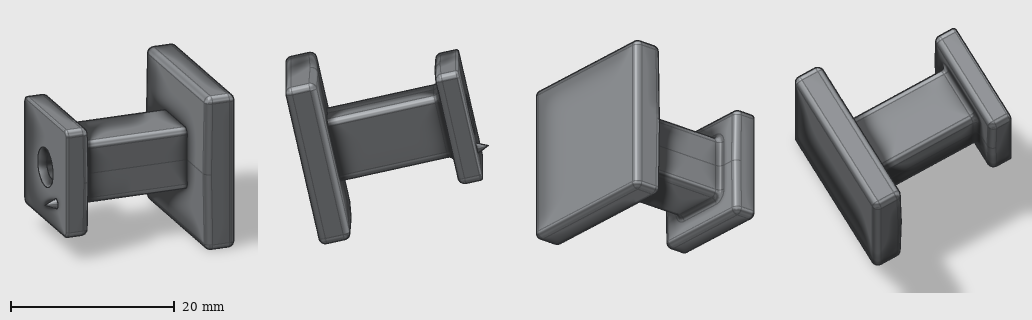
import cadquery as cq
import math

TOTAL_LENGTH = 22.5
PIN_LENGTH = 1.46
LARGE_SIZE = 19.98
LARGE_THICKNESS = 4.0
SMALL_SIZE = 14.0
SMALL_THICKNESS = 3.05
SHAFT_SIZE = 7.99

EDGE_RADIUS = 0.8
FRONT_RADIUS = 0.3
SHAFT_ROOT_RADIUS = 0.72
DRAFT_ANGLE = 1.0

HOLE_DIAMETER = 3.3
HOLE_DEPTH = 6.75
COUNTERSINK_DIAMETER = 5.0
COUNTERSINK_DEPTH = (COUNTERSINK_DIAMETER - HOLE_DIAMETER) / 2
DRILL_POINT_ANGLE = 118.0

PIN_DIAMETER = 1.25
PIN_OFFSET = 3.53

FRONT_Y = PIN_LENGTH
SMALL_BACK_Y = FRONT_Y + SMALL_THICKNESS
LARGE_FRONT_Y = TOTAL_LENGTH - LARGE_THICKNESS
DRAFT_SLOPE = math.tan(math.radians(DRAFT_ANGLE))


def flange(size, flat_y, peak_y, flat_radius):
    """Square plate: flat outer face at flat_y, inner face ridged at peak_y on the parting plane."""
    half = size / 2
    fall = math.copysign(half * DRAFT_SLOPE, peak_y - flat_y)
    outline = [
        (flat_y, -half),
        (peak_y - fall, -half),
        (peak_y, 0),
        (peak_y - fall, half),
        (flat_y, half),
    ]
    plate = cq.Workplane("YZ").polyline(outline).close().extrude(half, both=True)
    plate = plate.edges("|Y").fillet(EDGE_RADIUS)
    flat_side = "<Y" if flat_y < peak_y else ">Y"
    inner_faces = plate.faces(cq.selectors.BoxSelector(
        (-half, peak_y - abs(fall), -half), (half, peak_y + abs(fall), half)
    ))
    ridge_center = cq.Vector(0, peak_y, 0)
    rim = inner_faces.edges().filter(lambda edge: (edge.Center() - ridge_center).Length > EDGE_RADIUS)
    plate = rim.fillet(EDGE_RADIUS)
    return plate.faces(flat_side).edges().fillet(flat_radius)


def shaft():
    """Square post between the flanges, its sides narrowing away from the parting plane."""
    half = SHAFT_SIZE / 2
    inset = half * DRAFT_SLOPE
    outline = [
        (-half, 0),
        (inset - half, half),
        (half - inset, half),
        (half, 0),
        (half - inset, -half),
        (inset - half, -half),
    ]
    overlap = EDGE_RADIUS
    start_y = SMALL_BACK_Y - overlap
    length = LARGE_FRONT_Y + overlap - start_y
    post = cq.Workplane("XZ", origin=(0, start_y, 0)).polyline(outline).close().extrude(-length)
    return post.edges(">Z or <Z").edges("|Y").fillet(EDGE_RADIUS)


def revolved(profile, x=0, z=0):
    """Turn a (radius, y) profile about an axis parallel to Y."""
    return (
        cq.Workplane("XY").polyline(profile).close()
        .revolve(360, (0, 0), (0, 1)).translate((x, 0, z))
    )


def pin():
    return revolved(
        [(0, 0), (PIN_DIAMETER / 2, FRONT_Y), (0, FRONT_Y)], PIN_OFFSET, -PIN_OFFSET
    )


def countersunk_hole():
    radius = HOLE_DIAMETER / 2
    point_depth = radius / math.tan(math.radians(DRILL_POINT_ANGLE / 2))
    return revolved([
        (0, FRONT_Y),
        (COUNTERSINK_DIAMETER / 2, FRONT_Y),
        (radius, FRONT_Y + COUNTERSINK_DEPTH),
        (radius, FRONT_Y + HOLE_DEPTH),
        (0, FRONT_Y + HOLE_DEPTH + point_depth),
    ])


small_flange = flange(SMALL_SIZE, FRONT_Y, SMALL_BACK_Y, FRONT_RADIUS)
large_flange = flange(LARGE_SIZE, TOTAL_LENGTH, LARGE_FRONT_Y, EDGE_RADIUS)

body = small_flange.union(shaft())
SEARCH_MARGIN = 0.22
root_reach = SHAFT_SIZE / 2 + SEARCH_MARGIN
root_band = cq.selectors.BoxSelector(
    (-root_reach, SMALL_BACK_Y - SEARCH_MARGIN, -root_reach),
    (root_reach, SMALL_BACK_Y + SEARCH_MARGIN, root_reach),
)
body = body.edges(root_band).fillet(SHAFT_ROOT_RADIUS)

result = body.union(large_flange).union(pin()).cut(countersunk_hole())